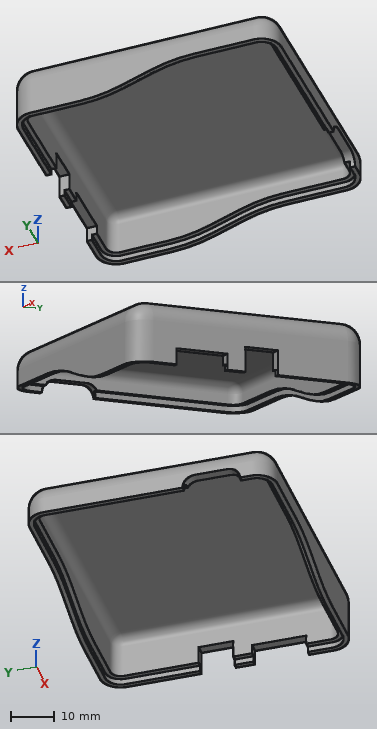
import cadquery as cq
import math

LENGTH = 65.55
WIDTH = 60.3
HEIGHT = 14.9
EDGE_RADIUS = 5.0

WALL = 2.5
REBATE_WIDTH = WALL / 2
REBATE_DEPTH = 1.5

RIM_RISE = 5.9
RIM_RADIUS = 32.8
RIM_SLOPE = math.atan(1 / 3)
RIM_MIDDLE_X = 1.45

NOTCH_Y = -15.55
NOTCH_WIDTH = 13.9
NOTCH_RADIUS = 3.0

TALL_OPENING_Y = 2.75
TALL_OPENING_WIDTH = 8.4
TALL_OPENING_HEIGHT = RIM_RISE
LOW_OPENING_Y = -12.65
LOW_OPENING_WIDTH = 13.2
LOW_OPENING_HEIGHT = 3.8

MARGIN = 0.65


def inset_block(inset, top):
    """Block from z = 0 to top, offset inward from the outer sides."""
    return (
        cq.Workplane("XY")
        .box(LENGTH - 2 * inset, WIDTH - 2 * inset, top, centered=(True, True, False))
        .edges("|Z")
        .fillet(EDGE_RADIUS - inset)
    )


def below_rim(lift):
    """Space below the rim curve raised by lift, across the full width."""
    arc_run = RIM_RADIUS * math.sin(RIM_SLOPE)
    arc_drop = RIM_RADIUS * (1 - math.cos(RIM_SLOPE))
    line_run = (RIM_RISE - 2 * arc_drop) / math.tan(RIM_SLOPE)
    half_run = arc_run + line_run / 2
    mid_run = RIM_RADIUS * math.sin(RIM_SLOPE / 2)
    mid_drop = RIM_RADIUS * (1 - math.cos(RIM_SLOPE / 2))
    high_z = lift + RIM_RISE
    start_x = RIM_MIDDLE_X - half_run
    end_x = RIM_MIDDLE_X + half_run
    outer_x = LENGTH / 2 + MARGIN
    floor_z = -MARGIN
    return (
        cq.Workplane("XZ")
        .moveTo(-outer_x, floor_z)
        .lineTo(-outer_x, high_z)
        .lineTo(start_x, high_z)
        .threePointArc((start_x + mid_run, high_z - mid_drop), (start_x + arc_run, high_z - arc_drop))
        .lineTo(end_x - arc_run, lift + arc_drop)
        .threePointArc((end_x - mid_run, lift + mid_drop), (end_x, lift))
        .lineTo(outer_x, lift)
        .lineTo(outer_x, floor_z)
        .close()
        .extrude(WIDTH / 2 + MARGIN, both=True)
    )


def end_wall_cutter(side, y, width, height):
    """Block through one end wall; side is -1 for -X and +1 for +X."""
    depth = WALL + 2 * MARGIN
    wall_x = side * (LENGTH - WALL) / 2
    return (
        cq.Workplane("XY")
        .box(depth, width, height + MARGIN, centered=(True, True, False))
        .translate((wall_x, y, -MARGIN))
    )


outside = inset_block(0, HEIGHT).faces(">Z").edges().fillet(EDGE_RADIUS)
cavity = inset_block(WALL, HEIGHT - WALL).faces(">Z").edges().fillet(EDGE_RADIUS - WALL)
shell = outside.cut(cavity)

rebate = inset_block(REBATE_WIDTH, HEIGHT - WALL).intersect(below_rim(REBATE_DEPTH))
cover = shell.cut(below_rim(0)).cut(rebate)

notch_top = RIM_RISE + NOTCH_RADIUS
notch = end_wall_cutter(-1, NOTCH_Y, NOTCH_WIDTH, notch_top).edges("|X and >Z").fillet(NOTCH_RADIUS)
tall_opening = end_wall_cutter(1, TALL_OPENING_Y, TALL_OPENING_WIDTH, TALL_OPENING_HEIGHT)
low_opening = end_wall_cutter(1, LOW_OPENING_Y, LOW_OPENING_WIDTH, LOW_OPENING_HEIGHT)

result = cover.cut(notch).cut(tall_opening).cut(low_opening)